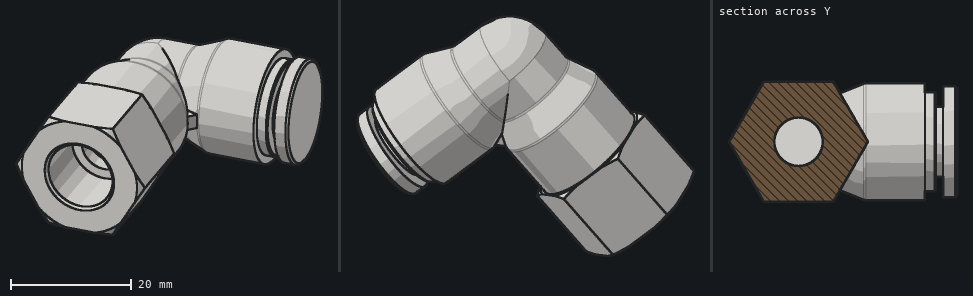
import cadquery as cq
import math

neck_radius = 15.5 / 2
socket_radius = 19.5 / 2
cone_start = 6.05
cone_end = 11.0
leg_length = 21.0
cone_blend_radius = 1.0

gusset_reach = 20.5
gusset_thickness = 2.5

nut_sides = 6
nut_across_flats = 20.0
nut_across_corners = nut_across_flats / math.cos(math.pi / nut_sides)
nut_length = 14.0
nut_face_radius = 10.32
nut_chamfer_depth = 0.5
thread_diameter = 11.45
thread_depth = 11.0
thread_mouth_chamfer = 0.5
bore_diameter = 8.0

sleeve_diameter = 16.5
sleeve_length = 1.85
sleeve_chamfer = 0.25

stem_diameter = 11.7
button_end = 26.4
flange_thickness = 2.4
flange_width = 15.9
flange_height = 18.45
flange_chamfer = 0.4


def make_leg():
    """One leg along +X: neck, cone and socket, with blended cone ends."""
    leg = (
        cq.Workplane("XY")
        .moveTo(0, 0)
        .lineTo(0, neck_radius)
        .lineTo(cone_start, neck_radius)
        .lineTo(cone_end, socket_radius)
        .lineTo(leg_length, socket_radius)
        .lineTo(leg_length, 0)
        .close()
        .revolve(360, (0, 0, 0), (1, 0, 0))
    )
    cone_ends = leg.faces("%CONE").edges("%CIRCLE")
    return cone_ends.fillet(cone_blend_radius)


def make_gusset():
    """Triangular web, with its inner point at the origin and its outer face at 45 degrees."""
    return (
        cq.Workplane("XY")
        .polyline([
            (0, 0),
            (cone_end, cone_end - gusset_reach),
            (gusset_reach - cone_end, -cone_end),
        ])
        .close()
        .extrude(gusset_thickness / 2, both=True)
    )


def make_body():
    x_leg = make_leg()
    y_leg = make_leg().rotate((0, 0, 0), (0, 0, 1), -90)
    corner_dome = cq.Workplane("XY").sphere(neck_radius)
    return x_leg.union(y_leg).union(corner_dome).union(make_gusset())


def make_nut():
    """Hexagon from the leg end toward -Y, with chamfered corners and a stepped bore."""
    prism = (
        cq.Workplane("XZ", origin=(0, -leg_length, 0))
        .polygon(nut_sides, nut_across_corners)
        .extrude(nut_length)
    )
    corner_radius = nut_across_corners / 2
    chamfer_envelope = (
        cq.Workplane("XZ", origin=(0, -leg_length, 0))
        .circle(corner_radius)
        .extrude(nut_length)
        .edges()
        .chamfer(nut_chamfer_depth, corner_radius - nut_face_radius)
    )
    hexagon = prism.intersect(chamfer_envelope)
    bored = hexagon.faces("<Y").workplane(origin=(0, 0, 0)).cboreHole(
        bore_diameter, thread_diameter, thread_depth)
    bore_mouth = bored.faces("<Y").edges(cq.selectors.RadiusNthSelector(0))
    return bore_mouth.chamfer(thread_mouth_chamfer)


def make_sleeve():
    return (
        cq.Workplane("YZ", origin=(leg_length, 0, 0))
        .circle(sleeve_diameter / 2)
        .extrude(sleeve_length)
        .faces(">X")
        .edges()
        .chamfer(sleeve_chamfer)
    )


def make_button():
    flange_start = button_end - flange_thickness
    flange = (
        cq.Workplane("YZ", origin=(flange_start, 0, 0))
        .ellipse(flange_width / 2, flange_height / 2)
        .extrude(flange_thickness)
        .faces(">X")
        .edges()
        .chamfer(flange_chamfer)
    )
    stem_start = leg_length + sleeve_length
    stem = (
        cq.Workplane("YZ", origin=(stem_start, 0, 0))
        .circle(stem_diameter / 2)
        .extrude(flange_start - stem_start)
    )
    return flange.union(stem)


body = make_body()
nut = make_nut()
sleeve = make_sleeve()
button = make_button()

result = cq.Compound.makeCompound([body.val(), nut.val(), sleeve.val(), button.val()])